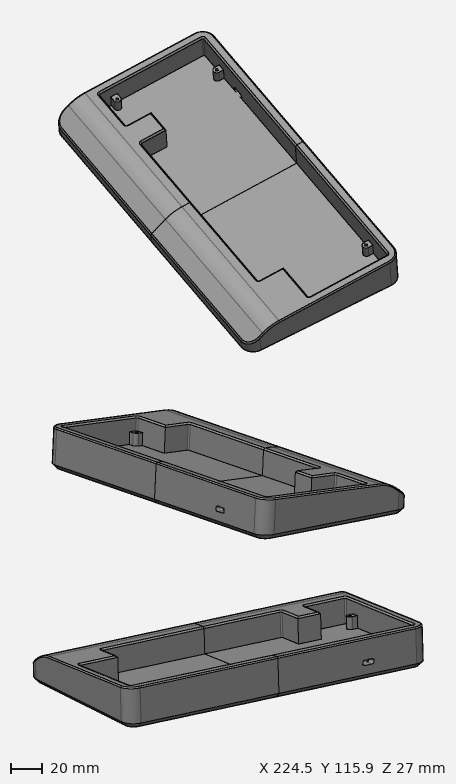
import cadquery as cq
import math

LENGTH = 224.5
DEPTH = 115.9
HEIGHT = 27.0
CORNER_RADIUS = 9.0
BASE_CHAMFER = 3.1
RIM_CHAMFER = 1.0

DECK_TILT = 3.1
WRIST_TILT = 35.0
FRONT_HEIGHT = 10.0
WRIST_BLEND_RADIUS = 23.8

POCKET_DEPTH = 17.7
POCKET_CORNER_RADIUS = 1.0
POCKET_CHAMFER = 1.1
SIDE_WALL = 6.3
BACK_WALL = 6.5
POCKET_FRONT_Y = 30.0
TAB_BACK_Y = 49.0
LEFT_TAB_START_X = -75.0
LEFT_TAB_END_X = -58.0
RIGHT_TAB_START_X = 77.0

POST_DIAMETER = 5.0
POST_HEIGHT = 8.3
SCREW_HOLE_DIAMETER = 1.8
BACK_POST_X = 85.8
BACK_POST_Y = 104.6
LEFT_POST_X = -102.2
LEFT_POST_Y = 40.9
RIGHT_POST_X = 102.5
RIGHT_POST_Y = 52.0

PORT_X = -67.4
PORT_WIDTH = 8.5
PORT_HEIGHT = 3.4

HALF_LENGTH = LENGTH / 2
DECK_SLOPE = math.tan(math.radians(DECK_TILT))
DECK_COS = math.cos(math.radians(DECK_TILT))
BACK_BOTTOM_Y = DEPTH + BASE_CHAMFER * DECK_SLOPE
FRONT_LIP_Z = FRONT_HEIGHT - RIM_CHAMFER * DECK_COS
FRONT_BOTTOM_Y = FRONT_LIP_Z * DECK_SLOPE
FRONT_TOP_Y = (FRONT_LIP_Z - FRONT_HEIGHT) * DECK_SLOPE
BACK_TOP_Y = BACK_BOTTOM_Y - HEIGHT * DECK_SLOPE
BACK_TOP_Z = HEIGHT + RIM_CHAMFER * DECK_SLOPE
POCKET_SIDE_X = HALF_LENGTH - SIDE_WALL
POST_RADIUS = POST_DIAMETER / 2


def along_deck(y):
    """Distance from the back rim, measured down the deck, of the deck point at this Y (negative)."""
    return (y - BACK_TOP_Y) / DECK_COS


def deck_plane(depth):
    """Plane parallel to the deck, sunk by depth, with its origin below the back rim."""
    tilt = math.radians(DECK_TILT)
    normal = cq.Vector(0, -math.sin(tilt), math.cos(tilt))
    origin = cq.Vector(0, BACK_TOP_Y, BACK_TOP_Z) - normal * depth
    return cq.Plane(origin=origin, xDir=(1, 0, 0), normal=normal)


def make_shell():
    """Solid wedge with a rounded wrist slope, rounded corners and chamfered rims."""
    wrist_slope = math.tan(math.radians(WRIST_TILT))
    deck_z_at_origin = BACK_TOP_Z - BACK_TOP_Y * DECK_SLOPE
    wrist_z_at_origin = FRONT_HEIGHT - FRONT_TOP_Y * wrist_slope
    ridge_y = (deck_z_at_origin - wrist_z_at_origin) / (wrist_slope - DECK_SLOPE)
    ridge_z = deck_z_at_origin + ridge_y * DECK_SLOPE
    shell = (
        cq.Workplane("YZ")
        .polyline([
            (FRONT_BOTTOM_Y, 0),
            (FRONT_TOP_Y, FRONT_HEIGHT),
            (ridge_y, ridge_z),
            (BACK_TOP_Y, BACK_TOP_Z),
            (BACK_BOTTOM_Y, 0),
        ])
        .close()
        .extrude(HALF_LENGTH, both=True)
    )
    blend_edge = cq.selectors.NearestToPointSelector((0, ridge_y, ridge_z))
    shell = shell.edges(blend_edge).fillet(WRIST_BLEND_RADIUS)
    for x in (-HALF_LENGTH, HALF_LENGTH):
        for y, z in ((0, FRONT_HEIGHT / 2), ((BACK_TOP_Y + BACK_BOTTOM_Y) / 2, BACK_TOP_Z / 2)):
            corner = cq.selectors.NearestToPointSelector((x, y, z))
            shell = shell.edges(corner).fillet(CORNER_RADIUS)
    shell = shell.faces("<Z").chamfer(BASE_CHAMFER)
    deck_edge = cq.selectors.NearestToPointSelector((0, BACK_TOP_Y, BACK_TOP_Z))
    return shell.edges(deck_edge).chamfer(RIM_CHAMFER)


def make_pocket():
    """Pocket volume: leaves two tabs standing at the front and rounds its outward corners."""
    front = along_deck(POCKET_FRONT_Y)
    tab_back = along_deck(TAB_BACK_Y)
    rounded_corners = [
        (-POCKET_SIDE_X, -BACK_WALL),
        (-POCKET_SIDE_X, front),
        (LEFT_TAB_START_X, front),
        (LEFT_TAB_END_X, front),
        (RIGHT_TAB_START_X, front),
        (POCKET_SIDE_X, tab_back),
        (POCKET_SIDE_X, -BACK_WALL),
    ]
    sharp_left_tab = [(LEFT_TAB_START_X, tab_back), (LEFT_TAB_END_X, tab_back)]
    sharp_right_tab = [(RIGHT_TAB_START_X, tab_back)]
    outline = (
        rounded_corners[:3] + sharp_left_tab + rounded_corners[3:5] + sharp_right_tab + rounded_corners[5:]
    )
    floor = deck_plane(POCKET_DEPTH)
    pocket = cq.Workplane(floor).polyline(outline).close().extrude(POCKET_DEPTH)
    for x, along in rounded_corners:
        corner_middle = floor.toWorldCoords((x, along, POCKET_DEPTH / 2))
        corner = cq.selectors.NearestToPointSelector(corner_middle.toTuple())
        pocket = pocket.edges(corner).fillet(POCKET_CORNER_RADIUS)
    return pocket


def chamfer_pocket_rim(case):
    """Chamfer the edge where the pocket opens through the deck."""
    deck_middle = deck_plane(0).toWorldCoords((0, along_deck(DEPTH / 2), 0))
    deck = case.faces(cq.selectors.NearestToPointSelector(deck_middle.toTuple())).val()
    rim_edges = deck.innerWires()[0].Edges()
    return case.newObject(rim_edges).chamfer(POCKET_CHAMFER)


def make_post(x, along, webs):
    """Round screw post joined to the walls by webs, each given as (x range, range along the deck)."""
    floor = deck_plane(POCKET_DEPTH)
    post = cq.Workplane(floor).center(x, along).circle(POST_RADIUS).extrude(POST_HEIGHT)
    for (x_start, x_end), (along_start, along_end) in webs:
        web = (
            cq.Workplane(floor)
            .center((x_start + x_end) / 2, (along_start + along_end) / 2)
            .rect(x_end - x_start, along_end - along_start)
            .extrude(POST_HEIGHT)
        )
        post = post.union(web)
    return post.cut(cq.Workplane(floor).center(x, along).circle(SCREW_HOLE_DIAMETER / 2).extrude(POST_HEIGHT))


def make_back_post(x):
    """Post with a web to the back wall."""
    along = along_deck(BACK_POST_Y)
    return make_post(x, along, [((x - POST_RADIUS, x + POST_RADIUS), (along, -BACK_WALL))])


def make_left_post():
    """Post with a web to the left wall."""
    along = along_deck(LEFT_POST_Y)
    web = ((-POCKET_SIDE_X, LEFT_POST_X), (along - POST_RADIUS, along + POST_RADIUS))
    return make_post(LEFT_POST_X, along, [web])


def make_right_post():
    """Post filling the corner between the right wall and the right tab."""
    along = along_deck(RIGHT_POST_Y)
    tab_back = along_deck(TAB_BACK_Y)
    side_web = ((RIGHT_POST_X, POCKET_SIDE_X), (tab_back, along + POST_RADIUS))
    tab_web = ((RIGHT_POST_X - POST_RADIUS, POCKET_SIDE_X), (tab_back, along))
    return make_post(RIGHT_POST_X, along, [side_web, tab_web])


def make_port():
    """Rounded slot running square through the back wall at floor level."""
    floor = deck_plane(POCKET_DEPTH)
    center = floor.toWorldCoords((PORT_X, -BACK_WALL, PORT_HEIGHT / 2))
    wall_plane = cq.Plane(origin=center, xDir=(1, 0, 0), normal=-floor.yDir)
    return cq.Workplane(wall_plane).slot2D(PORT_WIDTH, PORT_HEIGHT).extrude(-2 * BACK_WALL)


def make_case():
    """Complete case before it is parted at the seam."""
    case = chamfer_pocket_rim(make_shell().cut(make_pocket()))
    posts = [make_back_post(-BACK_POST_X), make_back_post(BACK_POST_X), make_left_post(), make_right_post()]
    for post in posts:
        case = case.union(post)
    return case.cut(make_port())


def make_half(case, side):
    """Half of the case on one side of the seam: side is -1 for left, +1 for right."""
    keep = cq.Workplane().box(LENGTH, 3 * DEPTH, 3 * HEIGHT).translate((side * HALF_LENGTH, 0, 0))
    return case.intersect(keep)


case = make_case()
left_half = make_half(case, -1)
right_half = make_half(case, 1)

result = cq.Compound.makeCompound([left_half.val(), right_half.val()])